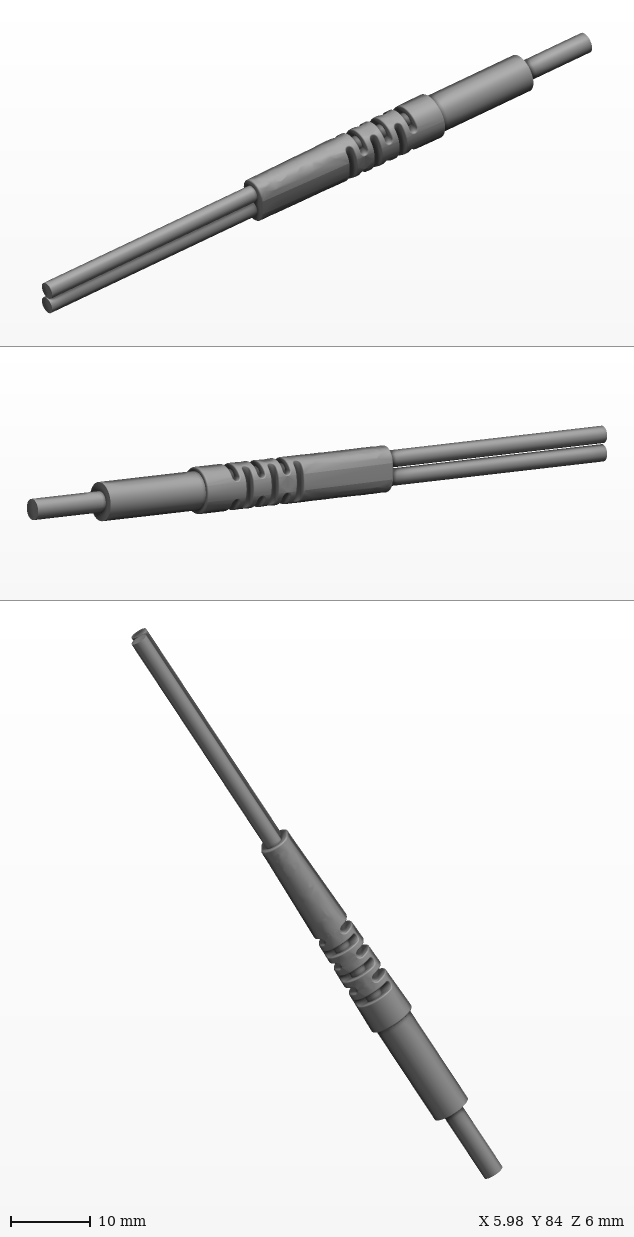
import cadquery as cq
import math

total_length = 84.0
pin_length = 10.0
sleeve_length = 14.0
boot_length = 28.0

pin_diameter = 2.7
sleeve_diameter = 4.95
boot_diameter = 6.0
boot_end_width = 3.9
boot_edge_radius = 0.2

wire_diameter = 2.2
wire_offset = 1.2

groove_width = 1.0
groove_mouth_radius = 0.2
mouth_search_margin = 0.1
core_half_width = 1.2
groove_pairs = 3
groove_pitch = 3.8
first_groove_offset = 4.5

pin_tip_y = total_length / 2
sleeve_front_y = pin_tip_y - pin_length
boot_front_y = sleeve_front_y - sleeve_length
wire_end_y = -total_length / 2


def rod(diameter, front_y, length, z=0):
    """Cylinder running from front_y toward -Y."""
    return (
        cq.Workplane("XZ", origin=(0, front_y, z))
        .circle(diameter / 2)
        .extrude(length)
    )


def boot_blank():
    """Ruled loft from a circle at the front to an upright obround at the wire end."""
    radius = boot_diameter / 2
    end_radius = boot_end_width / 2
    corner_z = radius - end_radius
    corner_x = math.sqrt(radius**2 - corner_z**2)
    return (
        cq.Workplane("XZ", origin=(0, boot_front_y, 0))
        .moveTo(corner_x, -corner_z)
        .threePointArc((radius, 0), (corner_x, corner_z))
        .threePointArc((0, radius), (-corner_x, corner_z))
        .threePointArc((-radius, 0), (-corner_x, -corner_z))
        .threePointArc((0, -radius), (corner_x, -corner_z))
        .close()
        .workplane(offset=boot_length)
        .moveTo(end_radius, -corner_z)
        .lineTo(end_radius, corner_z)
        .threePointArc((0, radius), (-end_radius, corner_z))
        .lineTo(-end_radius, -corner_z)
        .threePointArc((0, -radius), (end_radius, -corner_z))
        .close()
        .loft(ruled=True)
        .faces("<Y or >Y")
        .edges()
        .fillet(boot_edge_radius)
    )


def groove_cutter(y, angle):
    """Round-bottomed grooves in two opposite sides; angle turns the pair about Y."""
    outer_x = boot_diameter
    half_width = groove_width / 2
    straight_x = core_half_width + half_width
    groove = (
        cq.Workplane("XY")
        .moveTo(outer_x, y - half_width)
        .lineTo(outer_x, y + half_width)
        .lineTo(straight_x, y + half_width)
        .threePointArc((core_half_width, y), (straight_x, y - half_width))
        .close()
        .extrude(boot_diameter, both=True)
    )
    pair = groove.union(groove.mirror("YZ"))
    return pair.rotate((0, 0, 0), (0, 1, 0), angle)


def is_groove_mouth(edge, y):
    """True for an edge where the groove at y breaks through the outside of the boot."""
    box = edge.BoundingBox()
    reach = groove_width / 2 + mouth_search_margin
    within_groove = box.ymin > y - reach and box.ymax < y + reach
    middle = edge.positionAt(0.5)
    round_bottom_end = core_half_width + groove_width / 2
    on_outside = math.hypot(middle.x, middle.z) > round_bottom_end + mouth_search_margin / 2
    return within_groove and on_outside


def cut_groove(boot, y, angle):
    """Cut one pair of grooves and round the edges of their mouths."""
    grooved = boot.cut(groove_cutter(y, angle))
    mouth = [edge for edge in grooved.edges().vals() if is_groove_mouth(edge, y)]
    return grooved.newObject(mouth).fillet(groove_mouth_radius)


def make_boot(wires):
    """Strain-relief boot with alternating grooves and a bore for each wire."""
    boot = boot_blank()
    for index in range(groove_pairs):
        top_bottom_y = boot_front_y - first_groove_offset - index * groove_pitch
        left_right_y = top_bottom_y - groove_pitch / 2
        boot = cut_groove(boot, top_bottom_y, 90)
        boot = cut_groove(boot, left_right_y, 0)
    for wire in wires:
        boot = boot.cut(wire)
    return boot


pin = rod(pin_diameter, pin_tip_y, pin_length)
sleeve = rod(sleeve_diameter, sleeve_front_y, sleeve_length)
wires = [
    rod(wire_diameter, boot_front_y, boot_front_y - wire_end_y, side * wire_offset)
    for side in (1, -1)
]
boot = make_boot(wires)

result = cq.Compound.makeCompound(
    [pin.val(), sleeve.val(), boot.val(), *[wire.val() for wire in wires]]
)